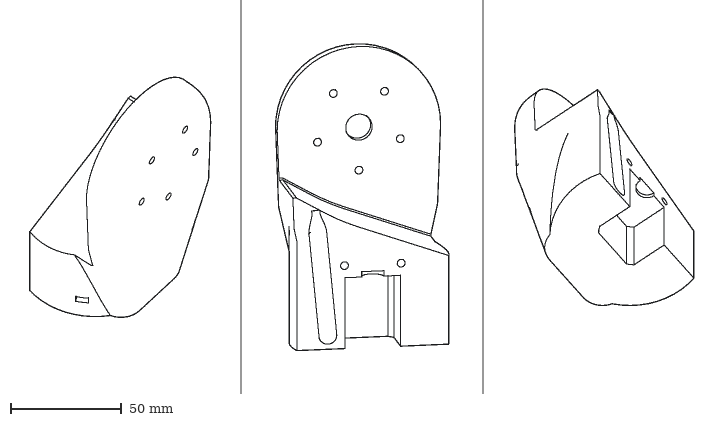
import cadquery as cq
import math

height = 131.2
width = 74.9
depth = 52.5

plate_radius = width / 2
plate_center_z = height - plate_radius
plate_thickness = 17.0
plate_face_x = depth - plate_thickness
waist_z = 56.8
waist_half_width = 36.1
rim_radius = 12.0

tail_lean = 6.7
tail_half_width = 23.9

column_radius = 36.1
column_center_x = depth - tail_lean - column_radius

shelf_top_z = 70.8
shelf_flat_y = 34.9
steep_angle = 30.0
shallow_angle = 20.0
bend_start_y = 22.6
bend_end_y = 7.1
bend_end_z = 56.4
corner_fill = 0.8

bolt_count = 5
bolt_circle_radius = 20.0
bolt_hole_diameter = 3.5
hub_diameter = 12.1
hub_depth = 4.0

pocket_width = 25.5
pocket_height = 32.9
pocket_depth = 19.5
pocket_chamfer = 2.4
notch_diameter = 10.1
notch_top_z = 35.4

screw_spacing = 26.0
screw_z = 38.6
screw_depth = 13.1

channel_width = 8.1
channel_round = 4.0
channel_foot_y = 20.2
channel_foot_z = 2.5
channel_tilt = 5.5
channel_length = 62.5
channel_bend_radius = 26.2
channel_exit_radius = 10.5
channel_exit_depth = 0.4

window_x = 27.7
window_z = 11.2
window_width = 5.8
window_height = 3.3
window_depth = 6.4

clearance = 6.5


def slope_z(angle, y, start_y, start_z):
    """Height at y of a line through (start_y, start_z) rising towards +Y."""
    return start_z + (y - start_y) * math.tan(math.radians(angle))


def rim_points(half_width, face_x):
    """Middle and end of the rounded side that starts at (face_x, half_width) and runs to the back."""
    back_x = face_x + plate_thickness
    inset = rim_radius * (1 - math.sqrt(0.5))
    return (back_x - inset, half_width - inset), (back_x, half_width - rim_radius)


def shell_section(sketch, half_width, face_x):
    """Horizontal section of the plate: flat front and back joined by two rounded sides."""
    (mid_x, mid_y), (back_x, back_y) = rim_points(half_width, face_x)
    return (
        sketch.moveTo(face_x, -half_width)
        .spline([(mid_x, -mid_y), (back_x, -back_y)], tangents=[(1, 0), (0, 1)], includeCurrent=True)
        .lineTo(back_x, back_y)
        .spline([(mid_x, mid_y), (face_x, half_width)], tangents=[(0, 1), (-1, 0)], includeCurrent=True)
        .close()
    )


def block_section(sketch, half_width, face_x):
    """Horizontal section of the block: a rectangle from the mounting face to the plate."""
    corners = [(0, -half_width), (face_x, -half_width), (face_x, half_width), (0, half_width)]
    return sketch.polyline(corners).close()


def stack_sections(section):
    """Straight-sided solid through the given section at the base, the waist and the disc center."""
    base = section(cq.Workplane("XY"), tail_half_width, plate_face_x - tail_lean)
    tail = section(base.workplane(offset=waist_z), waist_half_width, plate_face_x)
    tail = tail.loft(ruled=True)
    waist = cq.Workplane("XY", origin=(0, 0, waist_z))
    waist = section(waist, waist_half_width, plate_face_x)
    rise = plate_center_z - waist_z
    upper = section(waist.workplane(offset=rise), plate_radius, plate_face_x)
    return tail.union(upper.loft(ruled=True))


def make_disc():
    """Upper half of the round end: half of the plate's section turned about the disc axis."""
    mid, back = rim_points(plate_radius, plate_face_x)
    half_section = (
        cq.Workplane("XY")
        .moveTo(plate_face_x, 0)
        .lineTo(plate_face_x, plate_radius)
        .spline([mid, back], tangents=[(1, 0), (0, -1)], includeCurrent=True)
        .lineTo(back[0], 0)
        .close()
    )
    return half_section.revolve(180, (0, 0), (1, 0)).translate((0, 0, plate_center_z))


def make_column():
    column = cq.Workplane("XY").center(column_center_x, 0).circle(column_radius).extrude(shelf_top_z)
    front_half = cq.Workplane("XY").box(depth, width, height, centered=(False, True, False))
    return column.intersect(front_half)


def space_above_shelf(sketch, lift):
    """Closed outline of the free space above the sloped top, raised by lift."""
    side_y = plate_radius + clearance
    bend_start_z = slope_z(steep_angle, bend_start_y, shelf_flat_y, shelf_top_z)
    low_z = slope_z(shallow_angle, -side_y, bend_end_y, bend_end_z)
    mid_angle = math.radians((steep_angle + shallow_angle) / 2)
    chord = math.hypot(bend_start_y - bend_end_y, bend_start_z - bend_end_z)
    sag = chord / 2 * math.tan(math.radians(steep_angle - shallow_angle) / 4)
    bend_mid_y = (bend_start_y + bend_end_y) / 2 + sag * math.sin(mid_angle)
    bend_mid_z = (bend_start_z + bend_end_z) / 2 - sag * math.cos(mid_angle)
    return (
        sketch.moveTo(-side_y, low_z + lift)
        .lineTo(bend_end_y, bend_end_z + lift)
        .threePointArc((bend_mid_y, bend_mid_z + lift), (bend_start_y, bend_start_z + lift))
        .lineTo(shelf_flat_y, shelf_top_z + lift)
        .lineTo(side_y, shelf_top_z + lift)
        .lineTo(side_y, height + clearance)
        .lineTo(-side_y, height + clearance)
        .close()
    )


def make_shelf_cut():
    fill_start_x = plate_face_x - corner_fill
    main_cut = space_above_shelf(cq.Workplane("YZ"), 0).extrude(fill_start_x)
    near = space_above_shelf(cq.Workplane("YZ", origin=(fill_start_x, 0, 0)), 0)
    corner_cut = space_above_shelf(near.workplane(offset=corner_fill), corner_fill).loft(ruled=True)
    return main_cut.union(corner_cut)


def make_pocket():
    pocket = cq.Workplane("XY").box(pocket_depth, pocket_width, pocket_height, centered=(False, True, False))
    pocket = pocket.edges("|Z and >X").chamfer(pocket_chamfer)
    notch = cq.Workplane("XY").circle(notch_diameter / 2).extrude(notch_top_z)
    return pocket.union(notch)


def make_channel():
    center_gap = channel_bend_radius + channel_exit_radius
    turn = math.acos((channel_exit_depth + channel_exit_radius) / center_gap)
    curl_x = channel_exit_depth + channel_exit_radius
    curl_z = channel_bend_radius + center_gap * math.sin(turn)
    half_turn = turn / 2
    channel = (
        cq.Workplane("XZ")
        .moveTo(-clearance, 0)
        .lineTo(0, 0)
        .threePointArc(
            (channel_bend_radius, channel_bend_radius),
            (channel_bend_radius * math.cos(turn), channel_bend_radius * (1 + math.sin(turn))),
        )
        .threePointArc(
            (
                curl_x - channel_exit_radius * math.cos(half_turn),
                curl_z - channel_exit_radius * math.sin(half_turn),
            ),
            (channel_exit_depth, curl_z),
        )
        .lineTo(channel_exit_depth, channel_length)
        .lineTo(-clearance, channel_length)
        .close()
        .extrude(channel_width / 2, both=True)
    )
    floor_box = cq.selectors.BoxSelector(
        (-clearance / 2, -channel_width, -clearance),
        (channel_bend_radius + clearance, channel_width, channel_length - channel_exit_depth),
    )
    floor_edges = channel.faces("|Y").edges(floor_box)
    channel = floor_edges.fillet(channel_round)
    channel = channel.rotate((0, 0, 0), (1, 0, 0), -channel_tilt)
    return channel.translate((0, channel_foot_y, channel_foot_z))


def make_window():
    offset_x = window_x - column_center_x
    surface_y = -math.sqrt(column_radius**2 - offset_x**2)
    facing = math.degrees(math.atan2(surface_y, offset_x))
    hole = cq.Workplane("XY").box(2 * window_depth, window_width, window_height)
    hole = hole.rotate((0, 0, 0), (0, 0, 1), facing)
    return hole.translate((window_x, surface_y, window_z))


def make_plate_holes():
    plate_face = cq.Workplane("YZ", origin=(plate_face_x, 0, 0)).center(0, plate_center_z)
    bolts = (
        plate_face.polarArray(bolt_circle_radius, -90, 360, bolt_count)
        .circle(bolt_hole_diameter / 2)
        .extrude(plate_thickness)
    )
    return bolts.union(plate_face.circle(hub_diameter / 2).extrude(hub_depth))


def make_screw_holes():
    radius = bolt_hole_diameter / 2
    hole = (
        cq.Workplane("XY")
        .polyline([(0, 0), (0, radius), (screw_depth, radius), (screw_depth + radius, 0)])
        .close()
        .revolve(360, (0, 0), (1, 0))
    )
    left = hole.translate((0, screw_spacing / 2, screw_z))
    return left.union(left.mirror("XZ"))


solid = stack_sections(block_section).union(make_column())
solid = solid.union(stack_sections(shell_section)).union(make_disc())
solid = solid.cut(make_shelf_cut())
for cutter in (make_pocket(), make_channel(), make_window(), make_plate_holes(), make_screw_holes()):
    solid = solid.cut(cutter)
result = solid